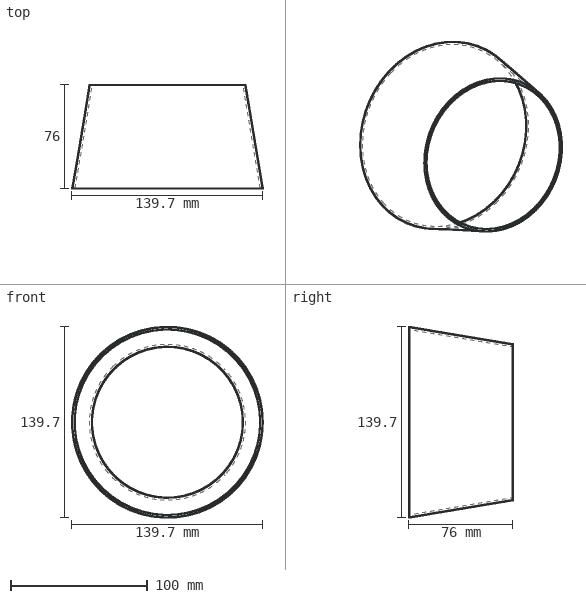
import cadquery as cq

LARGE_DIAMETER = 139.7
SMALL_DIAMETER = 114.3
LENGTH = 76.0
WALL = 2.0

large_radius = LARGE_DIAMETER / 2
small_radius = SMALL_DIAMETER / 2
front_y = -LENGTH / 2
back_y = LENGTH / 2

wall_section = (
    cq.Workplane("XY")
    .moveTo(large_radius - WALL, front_y)
    .lineTo(large_radius, front_y)
    .lineTo(small_radius, back_y)
    .lineTo(small_radius - WALL, back_y)
    .close()
)

result = wall_section.revolve(360, (0, 0, 0), (0, 1, 0))